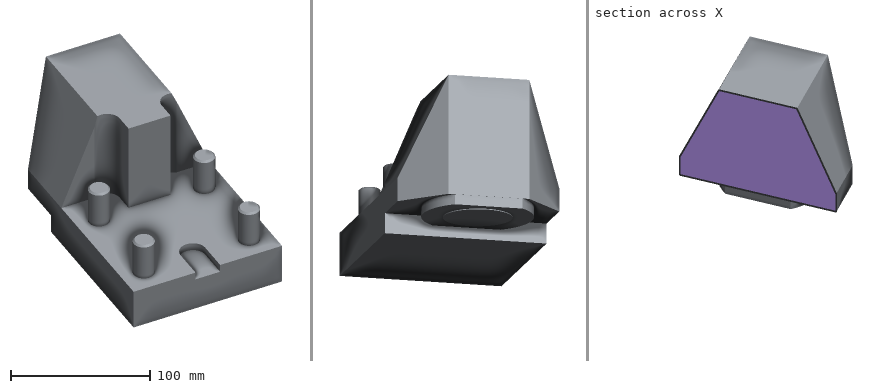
import cadquery as cq

length = 195.0
width = 120.0
height = 103.0
plate_top = 32.0
nose_underside = 14.8
step_x = 66.3

corner_cut = 30.0
block_back_x = 82.0
tongue_end_x = 104.0
tongue_width = 34.0
relief_radius = 10.1
relief_x = 90.3

pad_start_x = 0.2
pad_length = 63.8
pad_diameter = 81.1
pad_thickness = 7.5
pad_face_diameter = 50.0
pad_face_thickness = 0.5

pin_diameter = 16.0
pin_top = 61.0
pin_chamfer = 1.4
pin_x_positions = (107.0, 177.0)
pin_spacing_y = 85.0

slot_width = 19.9
slot_center_x = 171.8
slot_depth = 6.0


def box(x_start, x_end, y_size, z_start, z_end):
    """Box centred on Y = 0 between the given X and Z limits."""
    return (
        cq.Workplane("XY", origin=(x_start, 0, z_start))
        .box(x_end - x_start, y_size, z_end - z_start, centered=(False, True, False))
    )


def make_plate():
    plate = box(0, length, width, nose_underside, plate_top)
    return plate.union(box(step_x, length, width, 0, nose_underside))


def make_block():
    """Block with sloping sides, a tongue at the back and a round relief beside the tongue."""
    half_width = width / 2
    half_top = half_width - corner_cut
    block = (
        cq.Workplane("YZ")
        .moveTo(-half_width, plate_top)
        .lineTo(half_width, plate_top)
        .lineTo(half_top, height)
        .lineTo(-half_top, height)
        .close()
        .extrude(tongue_end_x)
    )
    half_tongue = tongue_width / 2
    relief_y = half_tongue + relief_radius
    for side in (-1, 1):
        shoulder = (
            cq.Workplane("XY", origin=(0, 0, plate_top))
            .moveTo(block_back_x, side * relief_y)
            .lineTo(relief_x, side * relief_y)
            .lineTo(relief_x, side * half_tongue)
            .lineTo(tongue_end_x, side * half_tongue)
            .lineTo(tongue_end_x, side * half_width)
            .lineTo(block_back_x, side * half_width)
            .close()
            .extrude(height - plate_top)
        )
        relief = (
            cq.Workplane("XY", origin=(relief_x, side * relief_y, plate_top))
            .circle(relief_radius)
            .extrude(height - plate_top)
        )
        block = block.cut(shoulder).cut(relief)
    return block


def cut_front_corners(body):
    half_width = width / 2
    for side in (-1, 1):
        corner = (
            cq.Workplane("XY")
            .moveTo(0, side * half_width)
            .lineTo(corner_cut, side * half_width)
            .lineTo(0, side * (half_width - corner_cut))
            .close()
            .extrude(height)
        )
        body = body.cut(corner)
    return body


def make_pad():
    pad_bottom = nose_underside - pad_thickness
    pad_center_x = pad_start_x + pad_length / 2
    pad = (
        cq.Workplane("XY", origin=(pad_center_x, 0, pad_bottom))
        .circle(pad_diameter / 2)
        .extrude(pad_thickness)
        .intersect(box(pad_start_x, pad_start_x + pad_length, pad_diameter, pad_bottom, nose_underside))
    )
    face = (
        cq.Workplane("XY", origin=(pad_center_x, 0, pad_bottom))
        .circle(pad_face_diameter / 2)
        .extrude(-pad_face_thickness)
    )
    return pad.union(face)


def make_pin(x, y):
    return (
        cq.Workplane("XY", origin=(x, y, plate_top))
        .circle(pin_diameter / 2)
        .extrude(pin_top - plate_top)
        .faces(">Z")
        .chamfer(pin_chamfer)
    )


def make_slot():
    slot_floor = plate_top - slot_depth
    round_end = (
        cq.Workplane("XY", origin=(slot_center_x, 0, slot_floor))
        .circle(slot_width / 2)
        .extrude(slot_depth)
    )
    return round_end.union(box(slot_center_x, length, slot_width, slot_floor, plate_top))


body = cut_front_corners(make_plate().union(make_block()))
body = body.union(make_pad()).cut(make_slot())
for pin_x in pin_x_positions:
    for side in (-1, 1):
        body = body.union(make_pin(pin_x, side * pin_spacing_y / 2))

result = body